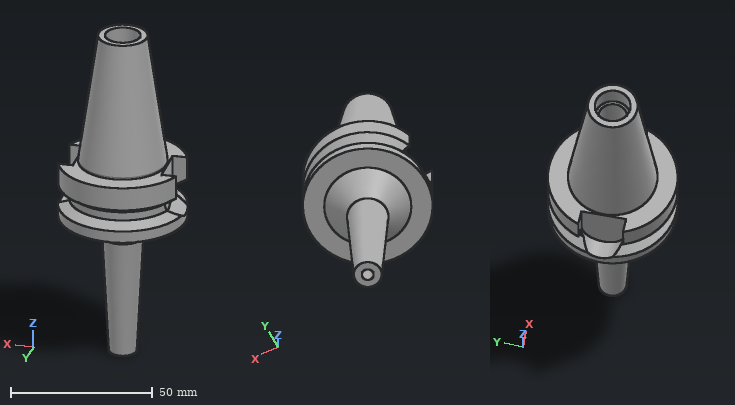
import cadquery as cq

total_height = 123.4
gauge_plane_z = 75.0
flange_top_z = 74.3
groove_top_z = 65.6
groove_neck_top_z = 63.0
groove_neck_bottom_z = 59.8
groove_bottom_z = 57.4
flange_bottom_z = 53.0

taper_top_diameter = 17.6
taper_large_diameter = 31.7
flange_diameter = 46.0
groove_neck_diameter = 38.3
cone_top_diameter = 30.8
shank_top_diameter = 14.7
shank_tip_diameter = 10.0

cone_height = (cone_top_diameter - shank_top_diameter) / 2
shank_top_z = flange_bottom_z - cone_height

entry_diameter = 12.6
entry_depth = 7.4
thread_diameter = 10.2
thread_depth = 24.7
relief_diameter = 6.0
relief_depth = 34.5
through_diameter = 4.2

slot_width = 16.2
slot_bottom_z = 56.0
slot_floor_distance = 16.2


def make_body():
    """Turned outline of taper, grooved flange, cone and shank."""
    outline = [
        (0, 0),
        (shank_tip_diameter / 2, 0),
        (shank_top_diameter / 2, shank_top_z),
        (cone_top_diameter / 2, flange_bottom_z),
        (flange_diameter / 2, flange_bottom_z),
        (flange_diameter / 2, groove_bottom_z),
        (groove_neck_diameter / 2, groove_neck_bottom_z),
        (groove_neck_diameter / 2, groove_neck_top_z),
        (flange_diameter / 2, groove_top_z),
        (flange_diameter / 2, flange_top_z),
        (taper_large_diameter / 2, flange_top_z),
        (taper_large_diameter / 2, gauge_plane_z),
        (taper_top_diameter / 2, total_height),
        (0, total_height),
    ]
    return cq.Workplane("XZ").polyline(outline).close().revolve(360, (0, 0), (0, 1))


def make_bore(diameter, depth):
    """Cylinder reaching down from the top face."""
    return cq.Workplane("XY").workplane(offset=total_height).circle(diameter / 2).extrude(-depth)


def make_drive_slot(side):
    """Slot cutter on the +X side (side = 1) or the -X side (side = -1)."""
    radius = slot_width / 2
    center_z = slot_bottom_z + radius
    return (
        cq.Workplane("YZ")
        .workplane(offset=side * slot_floor_distance)
        .moveTo(-radius, flange_top_z)
        .lineTo(-radius, center_z)
        .threePointArc((0, slot_bottom_z), (radius, center_z))
        .lineTo(radius, flange_top_z)
        .close()
        .extrude(side * flange_diameter / 2)
    )


result = make_body()
for bore_diameter, bore_depth in (
    (entry_diameter, entry_depth),
    (thread_diameter, thread_depth),
    (relief_diameter, relief_depth),
    (through_diameter, total_height),
):
    result = result.cut(make_bore(bore_diameter, bore_depth))
for slot_side in (-1, 1):
    result = result.cut(make_drive_slot(slot_side))